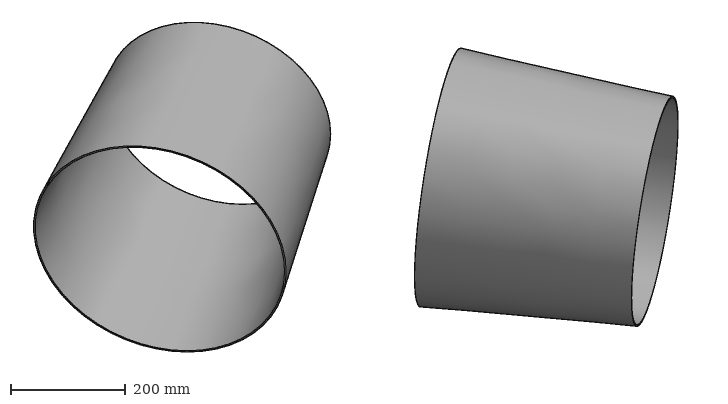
import cadquery as cq

large_diameter = 457.0
small_diameter = 406.5
length = 381.0
wall = 3.0

large_radius = large_diameter / 2
small_radius = small_diameter / 2

wall_section = (
    cq.Workplane("XY")
    .moveTo(large_radius - wall, 0)
    .lineTo(large_radius, 0)
    .lineTo(small_radius, length)
    .lineTo(small_radius - wall, length)
    .close()
)

result = wall_section.revolve(360, (0, 0, 0), (0, 1, 0))